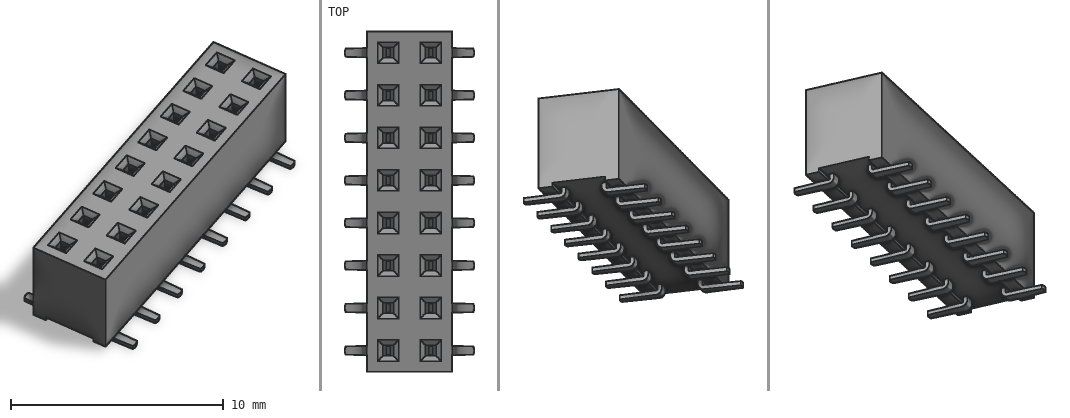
import cadquery as cq

pitch = 2.0
rows = 2
positions = 8

housing_width = rows * pitch
housing_length = positions * pitch
overall_height = 4.8
rail_bottom = 0.3
rail_height = 0.2
rail_width = 0.69

mouth_size = pitch / 2
throat_size = 0.5
mouth_depth = 0.24
socket_depth = 2.4
pin_rise = 0.48

lead_thickness = 0.2
lead_width = 0.5
socket_pin_width = 0.4
lead_tip_width = 0.4
lead_span = 6.1
bend_radius = 0.29
tip_bulge = 0.05

row_x = pitch / 2
underside = rail_bottom + rail_height
socket_floor = overall_height - socket_depth
pin_inner_x = row_x - lead_thickness / 2
pin_outer_x = row_x + lead_thickness / 2
bend_end_x = pin_inner_x + bend_radius
tip_x = lead_span / 2
tip_corner_x = tip_x - tip_bulge


def box_between(x_size, y_size, bottom, top):
    """Box centred on the Z axis, spanning two heights."""
    return cq.Workplane("XY").workplane(offset=bottom).rect(x_size, y_size).extrude(top - bottom)


def make_housing():
    """Block with a full-length channel underneath that leaves a rail along each side."""
    block = box_between(housing_width, housing_length, rail_bottom, overall_height)
    channel = box_between(housing_width - 2 * rail_width, housing_length, rail_bottom, underside)
    return block.cut(channel)


def make_socket():
    """Square hole with a funnel mouth, on the Z axis."""
    throat = box_between(throat_size, throat_size, socket_floor, overall_height)
    funnel = (
        cq.Workplane("XY").workplane(offset=overall_height - mouth_depth)
        .rect(throat_size, throat_size)
        .workplane(offset=mouth_depth)
        .rect(mouth_size, mouth_size)
        .loft(ruled=True)
    )
    return throat.union(funnel)


def make_lead():
    """Lead on the +X side: upright stem, bend, and a tapered foot with a rounded tip."""
    inner_radius = bend_radius - lead_thickness
    side = (
        cq.Workplane("XZ")
        .moveTo(pin_inner_x, socket_floor)
        .lineTo(pin_inner_x, bend_radius)
        .radiusArc((bend_end_x, 0), -bend_radius)
        .lineTo(tip_x, 0)
        .lineTo(tip_x, lead_thickness)
        .lineTo(bend_end_x, lead_thickness)
        .radiusArc((bend_end_x - inner_radius, bend_radius), inner_radius)
        .lineTo(pin_outer_x, socket_floor)
        .close()
        .extrude(lead_width / 2, both=True)
    )
    plan = (
        cq.Workplane("XY")
        .moveTo(pin_inner_x, -lead_width / 2)
        .lineTo(bend_end_x, -lead_width / 2)
        .lineTo(tip_corner_x, -lead_tip_width / 2)
        .threePointArc((tip_x, 0), (tip_corner_x, lead_tip_width / 2))
        .lineTo(bend_end_x, lead_width / 2)
        .lineTo(pin_inner_x, lead_width / 2)
        .close()
        .extrude(socket_floor)
    )
    pin = box_between(lead_thickness, socket_pin_width, socket_floor, socket_floor + pin_rise)
    return side.intersect(plan).union(pin.translate((row_x, 0, 0)))


socket = make_socket()
right_lead = make_lead()
left_lead = right_lead.mirror("YZ")

result = make_housing()
for index in range(positions):
    y = (index - (positions - 1) / 2) * pitch
    for x, lead in ((-row_x, left_lead), (row_x, right_lead)):
        result = result.cut(socket.translate((x, y, 0)))
        result = result.union(lead.translate((0, y, 0)))